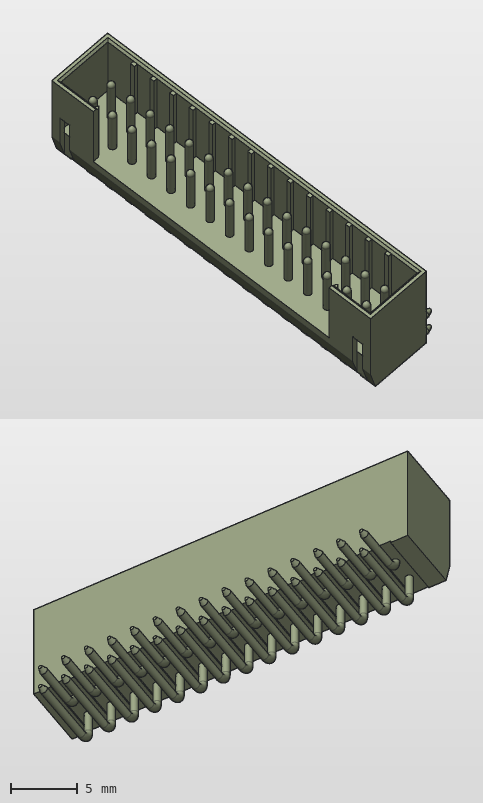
import cadquery as cq


length = 32.6
depth = 6.1
height = 8.9
wall = 0.5
floor_z = 2.7
lead_in = 0.2
undercut_height = 1.92
undercut_depth = 0.52

window_margin = 4.25
window_width = length - 2 * window_margin
bead_width = 0.33
bead_depth = 0.3
bead_shoulder = 0.1
bead_height = height - lead_in - floor_z

slot_margin = 0.8
slot_width = 1.0
slot_top = 5.0

pins_per_row = 15
row_span = 27.97
pitch = row_span / (pins_per_row - 1)
pin_diameter = 0.65
front_row_y = 2.02
pin_top = 6.88
bend_radius = 1.0
front_tail_z = -2.8
tail_end_y = 9.0
tail_taper_length = 0.5
tail_taper_inset = 0.18

rib_width = 0.4
rib_depth = 0.33
foot_height = 0.15
foot_width = 0.5
end_foot_width = 1.5

pin_xs = [i * pitch - row_span / 2 for i in range(pins_per_row)]
gap_xs = [x + pitch / 2 for x in pin_xs[:-1]]


def block(x_min, x_max, y_min, y_max, z_min, z_max):
    size = (x_max - x_min, y_max - y_min, z_max - z_min)
    return cq.Workplane("XY").box(*size, centered=False).translate((x_min, y_min, z_min))


def centred_block(x, width, y_min, y_max, z_min, z_max):
    return block(x - width / 2, x + width / 2, y_min, y_max, z_min, z_max)


def make_shell():
    """Open-topped box with a sloped undercut along its lower front edge."""
    profile = [
        (undercut_depth, 0),
        (depth, 0),
        (depth, height),
        (0, height),
        (0, undercut_height),
    ]
    shell = cq.Workplane("YZ").polyline(profile).close().extrude(length / 2, both=True)
    cavity = centred_block(0, length - 2 * wall, wall, depth - wall, floor_z, height)
    mouth_land = wall - lead_in
    mouth = (
        cq.Workplane("XY", origin=(0, depth / 2, height))
        .rect(length - 2 * mouth_land, depth - 2 * mouth_land)
        .workplane(offset=-lead_in)
        .rect(length - 2 * wall, depth - 2 * wall)
        .loft(ruled=True)
    )
    return shell.cut(cavity).cut(mouth)


def cut_window(body):
    return body.cut(centred_block(0, window_width, 0, wall, floor_z, height))


def add_window_beads(body):
    for side in (-1, 1):
        edge_x = side * window_width / 2
        profile = [
            (edge_x, wall),
            (edge_x, wall + bead_shoulder),
            (edge_x + side * bead_width / 2, wall + bead_depth),
            (edge_x + side * bead_width, wall),
        ]
        bead = cq.Workplane("XY", origin=(0, 0, floor_z)).polyline(profile).close().extrude(bead_height)
        body = body.union(bead)
    return body


def cut_latch_slots(body):
    for side in (-1, 1):
        x = side * (length / 2 - slot_margin - slot_width / 2)
        body = body.cut(centred_block(x, slot_width, 0, wall, 0, slot_top))
    return body


def add_back_ribs(body):
    inner_back = depth - wall
    for x in gap_xs:
        rib = centred_block(x, rib_width, inner_back - rib_depth, inner_back, floor_z, height - lead_in)
        body = body.union(rib)
    return body


def cut_underside(body):
    """Relieve the underside, leaving a foot at each end and one in every pin gap."""
    foot_edges = [-length / 2 + end_foot_width]
    for x in gap_xs:
        foot_edges += [x - foot_width / 2, x + foot_width / 2]
    foot_edges.append(length / 2 - end_foot_width)
    for x_min, x_max in zip(foot_edges[::2], foot_edges[1::2]):
        body = body.cut(block(x_min, x_max, 0, depth, 0, foot_height))
    return body


def make_pin(row_y, tail_z):
    """Round pin bent from vertical to a tail along +Y, with a domed top and a tapered tail end."""
    bend_start_z = tail_z + bend_radius
    bend_end_y = row_y + bend_radius
    radius = pin_diameter / 2

    dome_base_z = pin_top - radius
    post_length = dome_base_z - bend_start_z
    post = cq.Workplane("XY", origin=(0, row_y, bend_start_z)).circle(radius).extrude(post_length)
    dome = cq.Workplane("XY", origin=(0, row_y, dome_base_z)).sphere(radius)

    tail_length = tail_end_y - bend_end_y
    tail = cq.Workplane("XZ", origin=(0, bend_end_y, tail_z)).circle(radius).extrude(-tail_length)
    tail = tail.faces(">Y").chamfer(tail_taper_length, tail_taper_inset)

    bend = (
        cq.Workplane("XY", origin=(0, row_y, bend_start_z))
        .circle(radius)
        .revolve(90, (0, bend_radius, 0), (1, bend_radius, 0))
    )
    return post.union(dome).union(bend).union(tail)


def add_pins(body):
    pins = []
    for row in range(2):
        pin = make_pin(front_row_y + row * pitch, front_tail_z + row * pitch)
        pins += [pin.translate((x, 0, 0)).val() for x in pin_xs]
    return cq.Workplane(body.val().fuse(*pins))


result = make_shell()
result = cut_window(result)
result = add_window_beads(result)
result = cut_latch_slots(result)
result = add_back_ribs(result)
result = cut_underside(result)
result = add_pins(result)